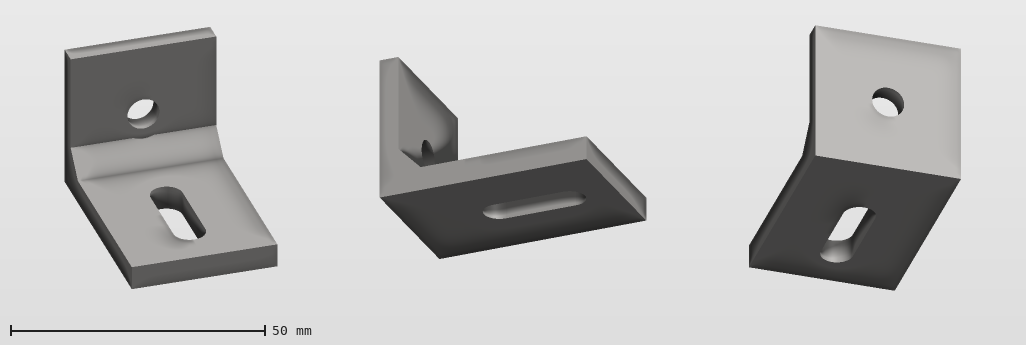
import cadquery as cq

length = 44.2
width = 30.0
height = 30.0
wall_thickness = 4.0
base_thickness = 5.0
corner_fill_run = 4.77
corner_fill_rise = 4.9

hole_diameter = 6.6
head_clearance_diameter = 11.05
slot_length = 21.55
slot_center_x = 26.7


def make_angle():
    """L-shaped profile with a sloped inside corner, centred on Y = 0."""
    return (
        cq.Workplane("XZ")
        .moveTo(0, 0)
        .lineTo(length, 0)
        .lineTo(length, base_thickness)
        .lineTo(wall_thickness + corner_fill_run, base_thickness)
        .lineTo(wall_thickness, base_thickness + corner_fill_rise)
        .lineTo(wall_thickness, height)
        .lineTo(0, height)
        .close()
        .extrude(width / 2, both=True)
    )


def make_wall_cylinder(diameter, start_x, end_x):
    """Cylinder along X through the middle of the upright wall."""
    return (
        cq.Workplane("YZ", origin=(start_x, 0, height / 2))
        .circle(diameter / 2)
        .extrude(end_x - start_x)
    )


def make_base_slot():
    """Round-ended slot along X through the base."""
    return (
        cq.Workplane("XY", origin=(slot_center_x, 0, 0))
        .slot2D(slot_length, hole_diameter)
        .extrude(base_thickness)
    )


screw_hole = make_wall_cylinder(hole_diameter, 0, wall_thickness)
head_clearance = make_wall_cylinder(
    head_clearance_diameter,
    wall_thickness,
    wall_thickness + corner_fill_run,
)

result = make_angle().cut(screw_hole).cut(head_clearance).cut(make_base_slot())